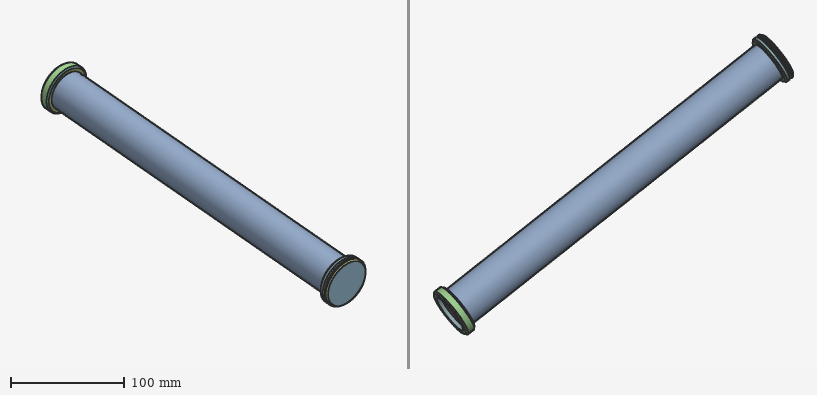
import cadquery as cq

length = 374.0
tube_radius = 19.0
flange_radius = 24.0
flange_width = 9.7
edge_chamfer = 1.5

recess_radius = 18.5
recess_depth = 4.5

outer_land_width = 1.5
groove_width = 2.2
groove_depth = 1.5


def make_tube():
    return cq.Workplane("YZ").circle(tube_radius).extrude(length)


def make_flange(start):
    disc = cq.Workplane("YZ").workplane(offset=start).circle(flange_radius).extrude(flange_width)
    return disc.edges("%CIRCLE").chamfer(edge_chamfer)


def make_v_groove():
    groove_end = length - edge_chamfer - outer_land_width
    groove_start = groove_end - groove_width
    groove_middle = groove_end - groove_width / 2
    clear_radius = flange_radius + groove_depth
    outline = [
        (groove_start, clear_radius),
        (groove_start, flange_radius),
        (groove_middle, flange_radius - groove_depth),
        (groove_end, flange_radius),
        (groove_end, clear_radius),
    ]
    return cq.Workplane("XY").polyline(outline).close().revolve(360, (0, 0), (1, 0))


def make_end_recess():
    return cq.Workplane("YZ").circle(recess_radius).extrude(recess_depth)


body = make_tube()
for flange_start in (0, length - flange_width):
    body = body.union(make_flange(flange_start))

result = body.cut(make_v_groove()).cut(make_end_recess())